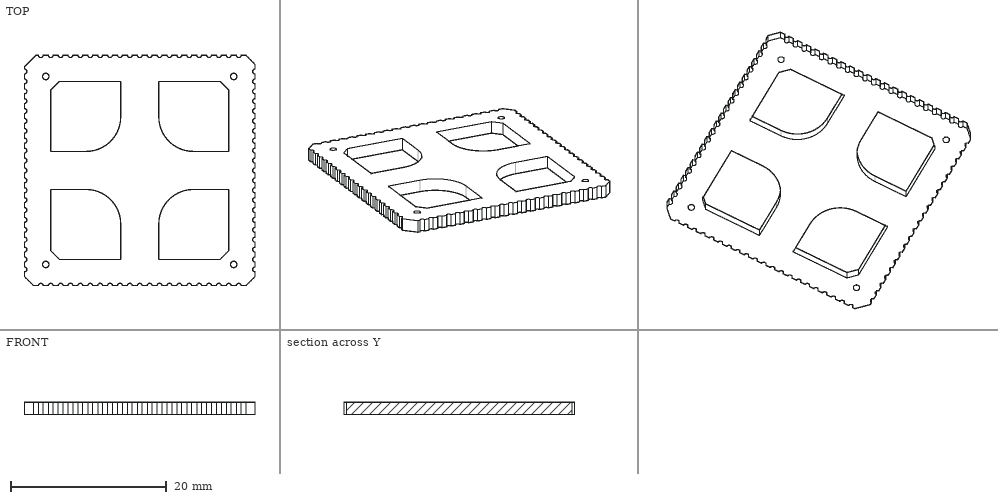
import cadquery as cq

side = 29.59
thickness = 1.6
corner_chamfer = 1.17
pin_one_chamfer = 1.47

notch_count = 21
notch_pitch = 1.27
notch_diameter = 0.6

window_inner = 2.46
window_outer = 11.41
window_chamfer = 1.1
window_radius = 4.4

hole_diameter = 0.8
hole_offset = 12.06

half_side = side / 2


def plate():
    """Square plate with chamfered corners; the (-X, +Y) corner is cut deeper."""
    body = cq.Workplane("XY").box(side, side, thickness)
    body = body.edges("|Z and <X and >Y").chamfer(pin_one_chamfer)
    for x_sign, y_sign in ((1, 1), (1, -1), (-1, -1)):
        body = body.edges("|Z").edges(f">({x_sign}, {y_sign}, 0)").chamfer(corner_chamfer)
    return body


def through_cutters(points, diameter):
    """Cylinders spanning the plate thickness at the given points."""
    bottom = cq.Workplane("XY").workplane(offset=-thickness / 2)
    return bottom.pushPoints(points).circle(diameter / 2).extrude(thickness)


def castellations():
    """Cylinders centred on the four sides of the plate."""
    points = []
    for index in range(notch_count):
        along = (index - (notch_count - 1) / 2) * notch_pitch
        points += [(along, half_side), (along, -half_side)]
        points += [(half_side, along), (-half_side, along)]
    return through_cutters(points, notch_diameter)


def window():
    """Window of the (+X, +Y) quadrant: rounded towards the centre, chamfered towards the corner."""
    width = window_outer - window_inner
    centre = (window_inner + window_outer) / 2
    block = cq.Workplane("XY").box(width, width, thickness).translate((centre, centre, 0))
    block = block.edges("|Z").edges("<(1, 1, 0)").fillet(window_radius)
    return block.edges("|Z").edges(">(1, 1, 0)").chamfer(window_chamfer)


def corner_holes():
    """One through hole near each corner of the plate."""
    points = [(x_sign * hole_offset, y_sign * hole_offset) for x_sign in (-1, 1) for y_sign in (-1, 1)]
    return through_cutters(points, hole_diameter)


result = plate().cut(castellations()).cut(corner_holes())
for quarter_turn in range(4):
    result = result.cut(window().rotate((0, 0, 0), (0, 0, 1), 90 * quarter_turn))